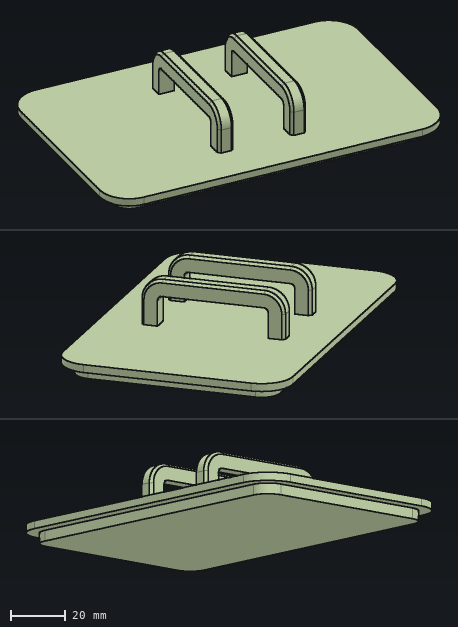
import cadquery as cq

plate_width = 89.8
plate_length = 139.0
plate_thickness = 3.0
plate_corner_radius = 12.2
plug_inset = 5.0
plug_height = 4.0

total_height = 25.2
handle_span = 56.0
handle_depth = 6.4
bar_thickness = 6.4
handle_bend_radius = 8.2
handle_chamfer = 1.1
handle_spacing = 29.9

plate_top = plug_height + plate_thickness
handle_height = total_height - plate_top


def rounded_slab(width, length, height, corner_radius, bottom):
    """Flat slab centred on the Z axis with rounded vertical corners."""
    slab = cq.Workplane("XY").box(width, length, height, centered=(True, True, False))
    return slab.edges("|Z").fillet(corner_radius).translate((0, 0, bottom))


def rounded_arch_block(span, height, depth, bend_radius):
    """Upright block, centred in X and Y, with its two top corners rounded."""
    block = cq.Workplane("XY").box(span, depth, height, centered=(True, True, False))
    return block.edges("|Y and >Z").fillet(bend_radius)


def handle(y_position):
    """U-shaped handle, chamfered along its outer edges and concentric at the bends."""
    outer = rounded_arch_block(handle_span, handle_height, handle_depth, handle_bend_radius)
    outer = outer.faces("<Y or >Y").edges("not <Z").chamfer(handle_chamfer)
    opening = rounded_arch_block(
        handle_span - 2 * bar_thickness,
        handle_height - bar_thickness,
        handle_depth,
        handle_bend_radius - bar_thickness,
    )
    return outer.cut(opening).translate((0, y_position, plate_top))


plug = rounded_slab(
    plate_width - 2 * plug_inset,
    plate_length - 2 * plug_inset,
    plug_height,
    plate_corner_radius - plug_inset,
    0,
)
plate = rounded_slab(plate_width, plate_length, plate_thickness, plate_corner_radius, plug_height)

result = plug.union(plate)
for side in (-1, 1):
    result = result.union(handle(side * handle_spacing / 2))